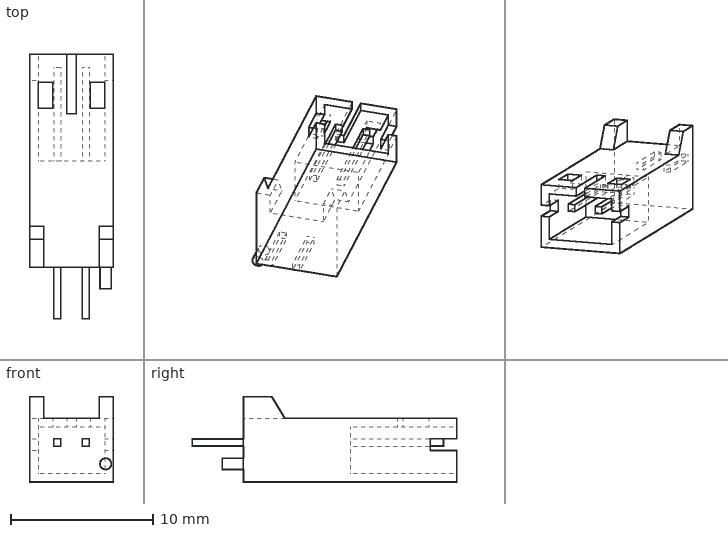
import cadquery as cq

body_width = 5.9
overall_length = 18.59
body_length = 14.98
body_height = 4.5

ear_width = 1.0
ear_top = 6.0
ear_flat_length = 1.99
ear_base_length = 2.9

wall = 0.61
cavity_depth = 7.5

slot_width = 0.63
slot_length = 4.2
window_width = 1.0
window_length = 1.8
window_setback = 1.99

notch_depth = 1.85
notch_bottom = 2.23
notch_top = 3.03

pin_size = 0.5
pin_pitch = 2.0
pin_projection = overall_length - body_length
pin_setback = 0.93
pin_bottom = notch_top - pin_size

peg_diameter = 0.8
peg_length = 1.5
peg_x = 2.4
peg_z = 1.28


def block(x_center, width, y_start, y_end, z_bottom, z_top):
    """Axis-aligned block, centred on x_center."""
    size = (width, y_end - y_start, z_top - z_bottom)
    corner = (x_center - width / 2, y_start, z_bottom)
    return cq.Workplane("XY").box(*size, centered=False).translate(corner)


def ear(x_center):
    profile = [
        (0, 0),
        (0, ear_top),
        (ear_flat_length, ear_top),
        (ear_base_length, body_height),
        (ear_base_length, 0),
    ]
    return (
        cq.Workplane("YZ", origin=(x_center - ear_width / 2, 0, 0))
        .polyline(profile)
        .close()
        .extrude(ear_width)
    )


def housing():
    body = block(0, body_width, 0, body_length, 0, body_height)
    ear_x = (body_width - ear_width) / 2
    for side in (-1, 1):
        body = body.union(ear(side * ear_x))

    roof_bottom = body_height - wall
    cavity_width = body_width - 2 * wall
    body = body.cut(block(0, cavity_width, body_length - cavity_depth, body_length, wall, roof_bottom))
    body = body.cut(block(0, body_width, body_length - notch_depth, body_length, notch_bottom, notch_top))
    body = body.cut(block(0, slot_width, body_length - slot_length, body_length, roof_bottom, body_height))

    window_x = (cavity_width - window_width) / 2
    window_end = body_length - window_setback
    for side in (-1, 1):
        window = block(side * window_x, window_width, window_end - window_length, window_end,
                       roof_bottom, body_height)
        body = body.cut(window)
    return body


def pin(x_center):
    return block(x_center, pin_size, -pin_projection, body_length - pin_setback, pin_bottom, notch_top)


def peg():
    return (
        cq.Workplane("XZ", origin=(peg_x, 0, peg_z))
        .circle(peg_diameter / 2)
        .extrude(peg_length)
    )


result = housing().union(peg())
for side in (-1, 1):
    result = result.union(pin(side * pin_pitch / 2))